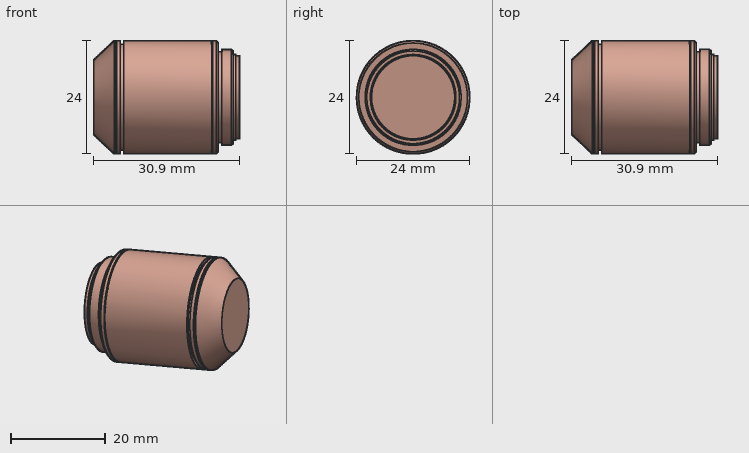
import cadquery as cq

TOTAL_LENGTH = 30.89
BODY_RADIUS = 12.0

NOSE_FACE_RADIUS = 7.9
NOSE_LENGTH = 4.35

GROOVE_RADIUS = 11.25
FINE_GROOVE_WIDTH = 0.2
WIDE_GROOVE_WIDTH = 0.7
FRONT_FINE_GROOVE_START = 4.65
WIDE_GROOVE_START = 5.65
REAR_FINE_GROOVE_START = 24.95

BODY_END = 26.39
BODY_CHAMFER = 0.5

NECK_RADIUS = 9.65
NECK_LENGTH = 0.75
COLLAR_RADIUS = 10.16
COLLAR_LENGTH = 2.35
COLLAR_CHAMFER = 0.35
SHOULDER_RADIUS = 9.06
SHOULDER_LENGTH = 0.6
SPIGOT_RADIUS = 8.8

COLLAR_START = BODY_END + NECK_LENGTH
SHOULDER_START = COLLAR_START + COLLAR_LENGTH
SPIGOT_START = SHOULDER_START + SHOULDER_LENGTH


def revolve_about_x(points):
    """Turn a closed half-profile of (x, radius) points around the X axis."""
    return cq.Workplane("XZ").polyline(points).close().revolve(360, (0, 0, 0), (1, 0, 0))


def ring(start, end, inner_radius, outer_radius):
    """Square-sided turned ring; an inner radius of zero gives a solid disc."""
    return revolve_about_x([
        (start, inner_radius),
        (start, outer_radius),
        (end, outer_radius),
        (end, inner_radius),
    ])


def chamfered_disc(start, end, radius, chamfer):
    """Solid disc with its rear edge chamfered at 45 degrees."""
    return revolve_about_x([
        (start, 0),
        (start, radius),
        (end - chamfer, radius),
        (end, radius - chamfer),
        (end, 0),
    ])


def make_body():
    """Barrel with its conical nose and chamfered rear edge."""
    nose = revolve_about_x([
        (0, 0),
        (0, NOSE_FACE_RADIUS),
        (NOSE_LENGTH, BODY_RADIUS),
        (NOSE_LENGTH, 0),
    ])
    barrel = chamfered_disc(NOSE_LENGTH, BODY_END, BODY_RADIUS, BODY_CHAMFER)
    return nose.union(barrel)


def cut_grooves(body):
    """Cut the three rings around the barrel."""
    grooves = [
        (FRONT_FINE_GROOVE_START, FINE_GROOVE_WIDTH),
        (WIDE_GROOVE_START, WIDE_GROOVE_WIDTH),
        (REAR_FINE_GROOVE_START, FINE_GROOVE_WIDTH),
    ]
    for start, width in grooves:
        body = body.cut(ring(start, start + width, GROOVE_RADIUS, BODY_RADIUS))
    return body


def add_rear_mount(body):
    """Stack the neck, collar, shoulder and spigot behind the barrel."""
    neck = ring(BODY_END, COLLAR_START, 0, NECK_RADIUS)
    collar = chamfered_disc(COLLAR_START, SHOULDER_START, COLLAR_RADIUS, COLLAR_CHAMFER)
    shoulder = ring(SHOULDER_START, SPIGOT_START, 0, SHOULDER_RADIUS)
    spigot = ring(SPIGOT_START, TOTAL_LENGTH, 0, SPIGOT_RADIUS)
    return body.union(neck).union(collar).union(shoulder).union(spigot)


result = add_rear_mount(cut_grooves(make_body()))